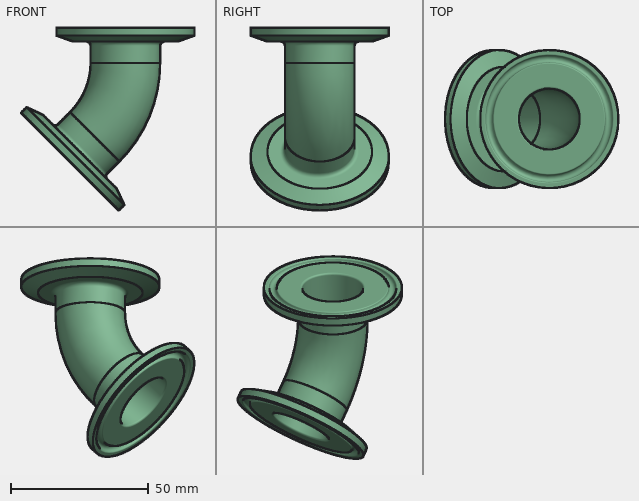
import cadquery as cq
import math

OVERALL_HEIGHT = 66.65
BEND_ANGLE = 45.0
BEND_RADIUS = 38.1

TUBE_RADIUS = 12.7
BORE_RADIUS = 11.05

FLANGE_RADIUS = 25.2
RIM_THICKNESS = 2.9
BACK_DEPTH = 5.1
BACK_RADIUS = 19.05
NECK_FILLET = 1.5
BORE_FILLET = 0.7

GROOVE_RADIUS = 21.8
GROOVE_HALF_WIDTH = 1.3
GROOVE_DEPTH = 1.6
GROOVE_EDGE_FILLET = 0.45
GROOVE_WALL_DROP = 0.4
GROOVE_WALL_RUN = 0.1

ROUND_MIDDLE = math.sqrt(0.5)

SIN_BEND = math.sin(math.radians(BEND_ANGLE))
COS_BEND = math.cos(math.radians(BEND_ANGLE))
FERRULE_LENGTH = (OVERALL_HEIGHT - (BEND_RADIUS + FLANGE_RADIUS) * SIN_BEND) / (1 + COS_BEND)


def make_groove_cutter():
    """Ring with a round bottom and rounded mouth, cut into the sealing face at Z = 0."""
    inner_wall = GROOVE_RADIUS - GROOVE_HALF_WIDTH
    outer_wall = GROOVE_RADIUS + GROOVE_HALF_WIDTH
    inner_mouth = inner_wall - GROOVE_EDGE_FILLET
    outer_mouth = outer_wall + GROOVE_EDGE_FILLET
    middle_offset = GROOVE_EDGE_FILLET * ROUND_MIDDLE
    middle_height = middle_offset - GROOVE_EDGE_FILLET
    wall_bottom = -GROOVE_EDGE_FILLET - GROOVE_WALL_DROP
    return (
        cq.Workplane("XZ")
        .moveTo(inner_mouth, 0)
        .threePointArc((inner_mouth + middle_offset, middle_height), (inner_wall, -GROOVE_EDGE_FILLET))
        .lineTo(inner_wall + GROOVE_WALL_RUN, wall_bottom)
        .threePointArc((GROOVE_RADIUS, -GROOVE_DEPTH), (outer_wall - GROOVE_WALL_RUN, wall_bottom))
        .lineTo(outer_wall, -GROOVE_EDGE_FILLET)
        .threePointArc((outer_mouth - middle_offset, middle_height), (outer_mouth, 0))
        .close()
        .revolve(360, (0, 0, 0), (0, 1, 0))
    )


def make_ferrule():
    """Ferrule along Z, sealing face at Z = 0 and tube end at -FERRULE_LENGTH."""
    neck_center = (TUBE_RADIUS + NECK_FILLET, -BACK_DEPTH - NECK_FILLET)
    neck_middle = (neck_center[0] - NECK_FILLET * ROUND_MIDDLE, neck_center[1] + NECK_FILLET * ROUND_MIDDLE)
    bore_center = (BORE_RADIUS + BORE_FILLET, -BORE_FILLET)
    bore_middle = (bore_center[0] - BORE_FILLET * ROUND_MIDDLE, bore_center[1] + BORE_FILLET * ROUND_MIDDLE)
    body = (
        cq.Workplane("XZ")
        .moveTo(bore_center[0], 0)
        .lineTo(FLANGE_RADIUS, 0)
        .lineTo(FLANGE_RADIUS, -RIM_THICKNESS)
        .lineTo(BACK_RADIUS, -BACK_DEPTH)
        .lineTo(neck_center[0], -BACK_DEPTH)
        .threePointArc(neck_middle, (TUBE_RADIUS, neck_center[1]))
        .lineTo(TUBE_RADIUS, -FERRULE_LENGTH)
        .lineTo(BORE_RADIUS, -FERRULE_LENGTH)
        .lineTo(BORE_RADIUS, bore_center[1])
        .threePointArc(bore_middle, (bore_center[0], 0))
        .close()
        .revolve(360, (0, 0, 0), (0, 1, 0))
    )
    return body.cut(make_groove_cutter())


def make_elbow():
    """Bent tube starting at the origin, running down and then toward -X."""
    return (
        cq.Workplane("XY")
        .circle(TUBE_RADIUS)
        .circle(BORE_RADIUS)
        .revolve(BEND_ANGLE, (-BEND_RADIUS, 0, 0), (-BEND_RADIUS, 1, 0))
    )


elbow = make_elbow()

upper_ferrule = make_ferrule().translate((0, 0, FERRULE_LENGTH))
lower_ferrule = upper_ferrule.mirror("XY").rotate(
    (-BEND_RADIUS, 0, 0), (-BEND_RADIUS, 1, 0), BEND_ANGLE
)

result = cq.Compound.makeCompound([elbow.val(), upper_ferrule.val(), lower_ferrule.val()])